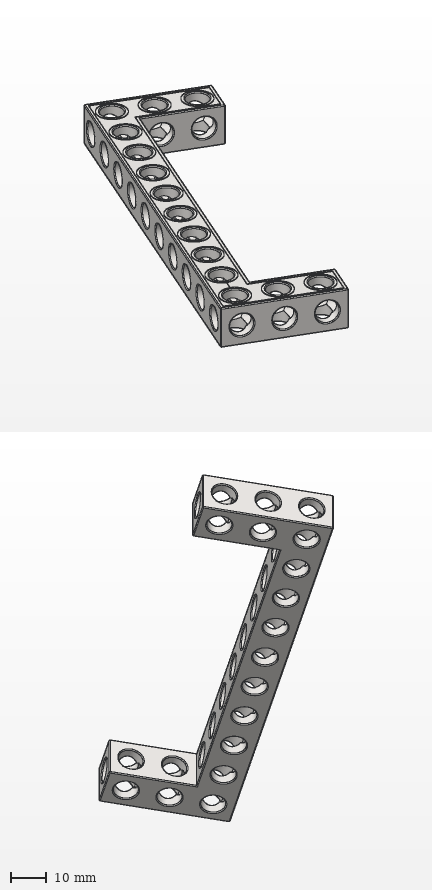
import cadquery as cq

block = 12.5
beam_blocks = 10
arm_blocks = 3
beam_length = beam_blocks * block
arm_length = arm_blocks * block

hole_diameter = 7.0
edge_chamfer = 0.3

wall_width = 1.1
collar_diameter = hole_diameter + 2 * wall_width
panel_depth = 0.2
bridge_width = 0.02

beam_centres = [(column + 0.5) * block for column in range(beam_blocks)]
arm_centres = [(row + 0.5) * block for row in range(arm_blocks)]
end_centres = (beam_centres[0], beam_centres[-1])
grid_centres = [(x, arm_centres[0]) for x in beam_centres]
for end_x in end_centres:
    grid_centres += [(end_x, y) for y in arm_centres[1:]]


def u_prism(inset, height):
    """U-shaped prism standing on Z = 0, its outline moved inward by inset."""
    right = beam_length - inset
    top = arm_length - inset
    inner = block - inset
    outline = [
        (inset, inset),
        (right, inset),
        (right, top),
        (beam_length - inner, top),
        (beam_length - inner, inner),
        (inner, inner),
        (inner, top),
        (inset, top),
    ]
    return cq.Workplane("XY").polyline(outline).close().extrude(height)


def make_body():
    """Solid brace, all edges chamfered but the two upright ones in the inner corners."""
    body = u_prism(0, block)
    inner_corners = cq.selectors.BoxSelector(
        (block / 2, block / 2, edge_chamfer),
        (beam_length - block / 2, block * 3 / 2, block - edge_chamfer),
    )
    return body.edges(cq.selectors.InverseSelector(inner_corners)).chamfer(edge_chamfer)


def make_hole(length):
    """Cutter for a hole along +Z from the origin, chamfered at both ends."""
    radius = hole_diameter / 2
    mouth = radius + edge_chamfer
    half_profile = [
        (0, 0),
        (mouth, 0),
        (radius, edge_chamfer),
        (radius, length - edge_chamfer),
        (mouth, length),
        (0, length),
    ]
    return cq.Workplane("XZ").polyline(half_profile).close().revolve(360, (0, 0, 0), (0, 1, 0))


def drill_holes(body):
    """Drill every block along all three axes."""
    middle = block / 2

    hole_z = make_hole(block)
    for x, y in grid_centres:
        body = body.cut(hole_z.translate((x, y, 0)))

    for x in beam_centres:
        length = arm_length if x in end_centres else block
        hole_y = make_hole(length).rotate((0, 0, 0), (1, 0, 0), -90)
        body = body.cut(hole_y.translate((x, 0, middle)))

    beam_hole_x = make_hole(beam_length).rotate((0, 0, 0), (0, 1, 0), 90)
    body = body.cut(beam_hole_x.translate((0, arm_centres[0], middle)))
    arm_hole_x = make_hole(block).rotate((0, 0, 0), (0, 1, 0), 90)
    for x in end_centres:
        for y in arm_centres[1:]:
            body = body.cut(arm_hole_x.translate((x - middle, y, middle)))
    return body


def sink_panel(body):
    """Sink the top panel around the collars and a thin bridge joining the last two on the beam."""
    collars = (
        cq.Workplane("XY").pushPoints(grid_centres).circle(collar_diameter / 2).extrude(panel_depth)
    )
    bridge = (
        cq.Workplane("XY")
        .center(beam_length - block, arm_centres[0])
        .rect(block, bridge_width)
        .extrude(panel_depth)
    )
    panel = u_prism(wall_width, panel_depth).cut(collars).cut(bridge)
    return body.cut(panel.translate((0, 0, block - panel_depth)))


result = sink_panel(drill_holes(make_body()))